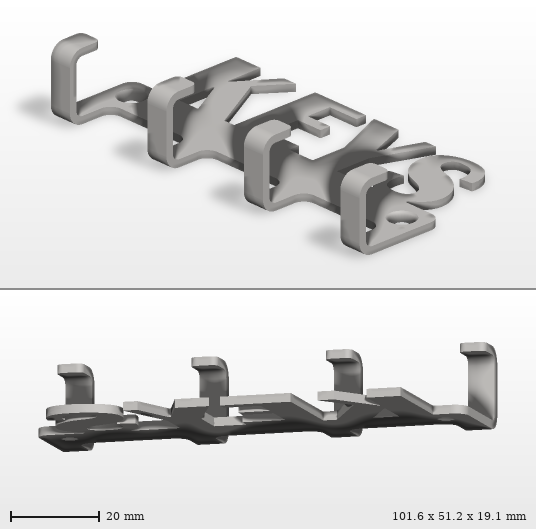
import cadquery as cq

plate_length = 101.6
part_height = 19.1
sheet = 2.0

plate_top = 25.5
plate_bottom = 12.9
plate_corner_radius = 3.1
neck_radius = 3.1

hook_count = 4
hook_width = 6.3
hook_pitch = (plate_length - hook_width) / (hook_count - 1)
bend_radius = 3.9
inner_bend_radius = bend_radius - sheet
hook_tip_y = 9.5
tip_corner_radius = 1.5

hole_diameter = 3.9
sink_diameter = 7.4
hole_inset = 6.3

letter_height = 25.3
stem_width = 8.0
bar_height = 3.0
root = -1.0
k_start = 7.4
e_start = 33.4
y_start = 52.7
s_start = 75.2

margin = 1.0


def make_plate():
    """Flat plate with rounded upper corners."""
    height = plate_top - plate_bottom
    plate = cq.Workplane("XY").box(plate_length, height, sheet, centered=False)
    plate = plate.edges("|Z and >Y").fillet(plate_corner_radius)
    return plate.translate((0, plate_bottom, 0))


def make_hook(left):
    """Sheet strip bent up and back into a J, with rounded corners at its free end."""
    lower_bend = bend_radius
    upper_bend = part_height - bend_radius
    hook = (
        cq.Workplane("YZ", origin=(left, 0, 0))
        .moveTo(plate_bottom, 0)
        .lineTo(bend_radius, 0)
        .radiusArc((0, lower_bend), bend_radius)
        .lineTo(0, upper_bend)
        .radiusArc((bend_radius, part_height), bend_radius)
        .lineTo(hook_tip_y, part_height)
        .lineTo(hook_tip_y, part_height - sheet)
        .lineTo(bend_radius, part_height - sheet)
        .radiusArc((sheet, upper_bend), -inner_bend_radius)
        .lineTo(sheet, lower_bend)
        .radiusArc((bend_radius, sheet), -inner_bend_radius)
        .lineTo(plate_bottom, sheet)
        .close()
        .extrude(hook_width)
    )
    free_end = cq.selectors.BoxSelector(
        (left - margin, hook_tip_y - margin, part_height - sheet),
        (left + hook_width + margin, hook_tip_y + margin, part_height),
    )
    return hook.edges("|Z").edges(free_end).fillet(tip_corner_radius)


def make_screw_hole(x):
    """Conical hole through the sheet, widest at the face toward the hook tips."""
    cone = cq.Solid.makeCone(hole_diameter / 2, sink_diameter / 2, sheet)
    return cq.Workplane(cone).translate((x, plate_top - hole_inset, 0))


def make_letter(outline, start):
    """Extrude a letter outline and move it to its place on the plate."""
    return outline.close().extrude(sheet).translate((start, plate_top, 0))


def make_k():
    crotch_x = 8.5
    arm_crotch_height = 15.0
    leg_crotch_height = 10.5
    outline = cq.Workplane("XY").polyline([
        (0, root),
        (0, letter_height),
        (stem_width, letter_height),
        (stem_width, arm_crotch_height),
        (crotch_x, arm_crotch_height),
        (15.7, letter_height),
        (19.7, letter_height),
        (13.6, 17.1),
        (22.8, 0),
        (22.8, root),
        (14.1, root),
        (14.1, 0),
        (crotch_x, leg_crotch_height),
        (stem_width, leg_crotch_height),
        (stem_width, root),
    ])
    return make_letter(outline, k_start)


def make_e():
    top_bar_end = 16.8
    middle_bar_end = 15.4
    bottom_bar_end = 18.2
    middle_bar_base = 12.3
    outline = cq.Workplane("XY").polyline([
        (0, root),
        (0, letter_height),
        (top_bar_end, letter_height),
        (top_bar_end, letter_height - bar_height),
        (stem_width, letter_height - bar_height),
        (stem_width, middle_bar_base + bar_height),
        (middle_bar_end, middle_bar_base + bar_height),
        (middle_bar_end, middle_bar_base),
        (stem_width, middle_bar_base),
        (stem_width, bar_height),
        (bottom_bar_end, bar_height),
        (bottom_bar_end, root),
    ])
    return make_letter(outline, e_start)


def make_y():
    stem_left = 6.5
    stem_right = stem_left + stem_width
    fork_height = 10.0
    crotch_height = 14.2
    outline = cq.Workplane("XY").polyline([
        (stem_left, root),
        (stem_left, fork_height),
        (0, letter_height),
        (8.1, letter_height),
        (12.4, crotch_height),
        (12.9, crotch_height),
        (17.0, letter_height),
        (20.4, letter_height),
        (stem_right, fork_height),
        (stem_right, root),
    ])
    return make_letter(outline, y_start)


def make_s():
    """Curved letter; its top rises slightly above the straight letters."""
    s_height = 25.7
    root_left = 3.8
    root_right = 14.6
    upper_side = [
        (17.2, 21.7), (15.4, 24.1), (9.2, s_height), (4.5, 24.6),
        (0.9, 21.4), (0.3, 18.5), (1.4, 13.9), (4.9, 10.4),
        (9.7, 8.4), (12.1, 6.5), (12.5, 4.6), (11.3, 2.8),
        (8.9, 2.2), (5.0, 3.4), (4.0, 6.0), (4.2, 9.4),
    ]
    lower_tip = [(0.3, 5.6), (1.4, 2.6), (root_left, 0.4)]
    lower_side = [
        (17.2, 2.7), (18.4, 4.5), (19.0, 7.3), (17.2, 12.5),
        (14.6, 14.9), (10.8, 16.8), (7.5, 17.9), (5.7, 20.1),
        (6.7, 22.8), (9.2, 23.3), (12.1, 22.7), (13.6, 20.8), (14.1, 17.4),
    ]
    outline = (
        cq.Workplane("XY")
        .moveTo(17.8, 17.8)
        .spline(upper_side, includeCurrent=True)
        .lineTo(0, 8.7)
        .spline(lower_tip, includeCurrent=True)
        .lineTo(root_left, root)
        .lineTo(root_right, root)
        .lineTo(root_right, 0.7)
        .spline(lower_side, includeCurrent=True)
    )
    return make_letter(outline, s_start)


result = make_plate()
for i in range(hook_count):
    result = result.union(make_hook(i * hook_pitch))

neck_corners = cq.selectors.BoxSelector(
    (margin, plate_bottom - margin, 0),
    (plate_length - margin, plate_bottom + margin, sheet),
)
result = result.edges("|Z").edges(neck_corners).fillet(neck_radius)

for letter in (make_k(), make_e(), make_y(), make_s()):
    result = result.union(letter)

for hole_x in (hole_inset, plate_length - hole_inset):
    result = result.cut(make_screw_hole(hole_x))